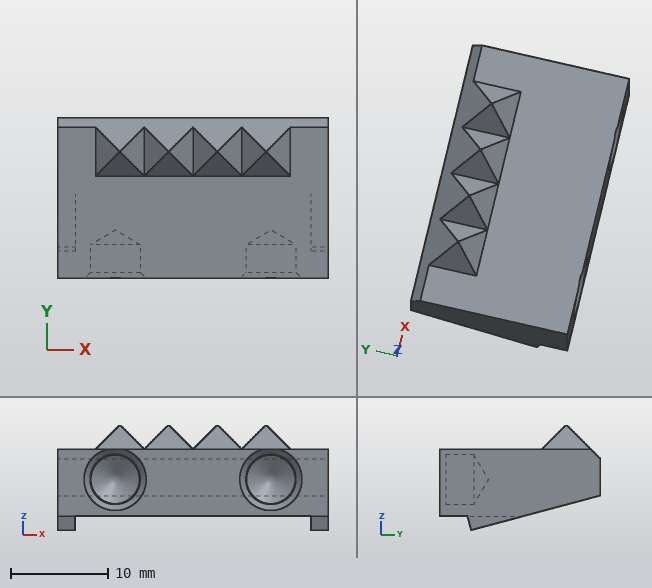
import cadquery as cq
import math

width = 27.8
depth = 16.5
front_height = 6.9
back_height = 4.78
back_chamfer = 1.0
underside_angle = math.radians(15)

overall_height = 10.73
foot_width = 1.8

tooth_count = 4
tooth_base = 5.0
tooth_height = 2.4

foot_bottom = overall_height - tooth_height

hole_spacing = 15.98
hole_drop = 3.1
hole_diameter = 5.15
tip_diameter = 5.0
mouth_diameter = 6.4
mouth_depth = (mouth_diameter - hole_diameter) / 2
hole_depth = 3.5
drill_tip_angle = math.radians(118)


def make_body():
    """Extrude the side profile, then clear the underside between the feet."""
    foot_y = depth - (foot_bottom - back_height) / math.tan(underside_angle)
    notch_y = foot_y - (foot_bottom - front_height) * math.tan(underside_angle)
    profile = [
        (0, 0),
        (depth - back_chamfer, 0),
        (depth, -back_chamfer),
        (depth, -back_height),
        (foot_y, -foot_bottom),
        (notch_y, -front_height),
        (0, -front_height),
    ]
    body = cq.Workplane("YZ").polyline(profile).close().extrude(width / 2, both=True)
    gap = cq.Workplane("XY").box(
        width - 2 * foot_width, depth, foot_bottom, centered=(True, False, False)
    ).translate((0, 0, -front_height - foot_bottom))
    return body.cut(gap)


def make_tooth(x):
    """Pyramid with 45 degree flanks; its rear flank continues the back chamfer."""
    tip = tooth_base - 2 * tooth_height
    center_y = depth - back_chamfer - tooth_base / 2
    return (
        cq.Workplane("XY", origin=(x, center_y, 0))
        .rect(tooth_base, tooth_base)
        .workplane(offset=tooth_height)
        .rect(tip, tip)
        .loft()
    )


def make_hole(x):
    """Countersunk blind hole with a small ledge and a conical tip, revolved about its Y axis."""
    radius = hole_diameter / 2
    tip_radius = tip_diameter / 2
    tip_depth = tip_radius / math.tan(drill_tip_angle / 2)
    profile = [
        (0, 0),
        (mouth_diameter / 2, 0),
        (radius, mouth_depth),
        (radius, hole_depth),
        (tip_radius, hole_depth),
        (0, hole_depth + tip_depth),
    ]
    hole = cq.Workplane("XY").polyline(profile).close().revolve(360, (0, 0), (0, 1))
    return hole.translate((x, 0, -hole_drop))


result = make_body()
for index in range(tooth_count):
    tooth_x = (index - (tooth_count - 1) / 2) * tooth_base
    result = result.union(make_tooth(tooth_x))
for side in (-1, 1):
    result = result.cut(make_hole(side * hole_spacing / 2))